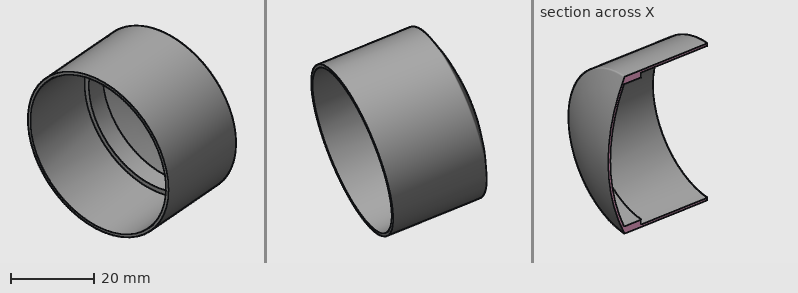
import cadquery as cq
import math

outer_radius = 44.4 / 2
bore_radius = 42.7 / 2
seat_radius = 40.0 / 2
total_length = 30.05
shoulder_length = 25.05
shoulder_fillet = 0.5
bore_depth = 20.0

wall_thickness = outer_radius - bore_radius
dome_height = total_length - shoulder_length
dome_sphere_radius = (outer_radius**2 + dome_height**2) / (2 * dome_height)
inner_sphere_radius = dome_sphere_radius - wall_thickness
sphere_center_y = total_length - dome_sphere_radius


def sphere_point(sphere_radius, radius):
    """Section point on a dome sphere at the given distance from the Y axis."""
    return radius, sphere_center_y + math.sqrt(sphere_radius**2 - radius**2)


half_section = (
    cq.Workplane("XY")
    .moveTo(bore_radius, 0)
    .lineTo(outer_radius, 0)
    .lineTo(outer_radius, shoulder_length)
    .threePointArc(sphere_point(dome_sphere_radius, outer_radius / 2), (0, total_length))
    .lineTo(0, total_length - wall_thickness)
    .threePointArc(
        sphere_point(inner_sphere_radius, seat_radius / 2),
        sphere_point(inner_sphere_radius, seat_radius),
    )
    .lineTo(seat_radius, bore_depth)
    .lineTo(bore_radius, bore_depth)
    .close()
)
cap = half_section.revolve(360, (0, 0, 0), (0, 1, 0))

OUTER_RANK = 2
shoulder_edge = cap.edges("%CIRCLE").edges(cq.selectors.RadiusNthSelector(OUTER_RANK)).edges(">Y")
result = shoulder_edge.fillet(shoulder_fillet)